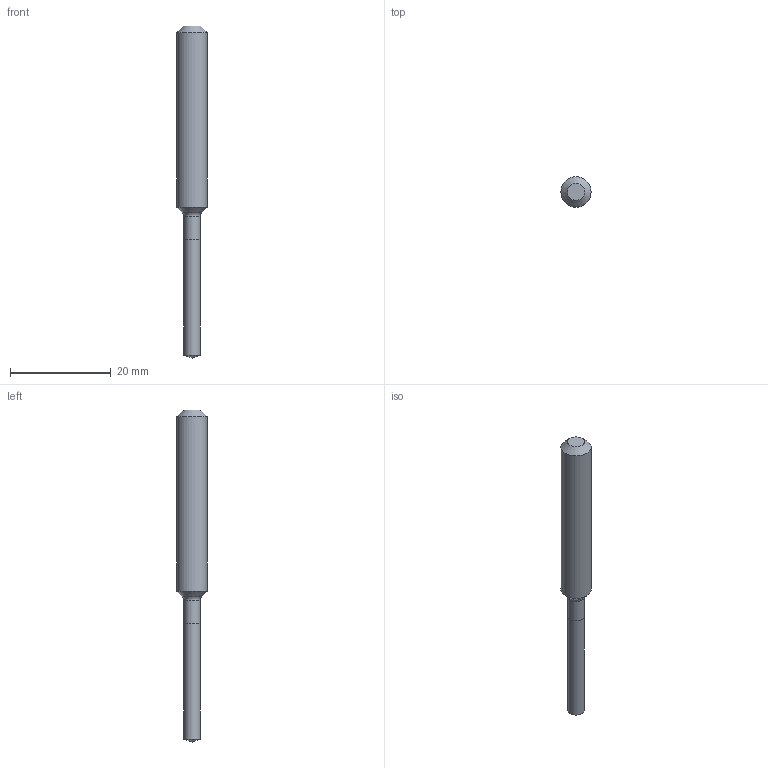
import cadquery as cq
import math

overall_length = 66.0
shank_diameter = 6.0
shank_length = 36.0
top_chamfer = 1.3
neck_diameter = 3.2
taper_angle = math.radians(45)
neck_blend_radius = 1.0
cutter_length = 23.5
point_angle = math.radians(140)

shank_radius = shank_diameter / 2
neck_radius = neck_diameter / 2
shoulder_z = overall_length - shank_length
point_height = neck_radius / math.tan(point_angle / 2)

taper_height = (shank_radius - neck_radius) / math.tan(taper_angle)
blend_bottom_z = shoulder_z - taper_height - neck_blend_radius * math.tan(taper_angle / 2)
blend_center_r = neck_radius + neck_blend_radius


def blend_point(angle):
    """Point (r, z) on the neck blend, at an angle measured up from its neck end."""
    return (
        blend_center_r - neck_blend_radius * math.cos(angle),
        blend_bottom_z + neck_blend_radius * math.sin(angle),
    )


def make_shank():
    """Chamfered shank that tapers and blends into the short neck."""
    profile = (
        cq.Workplane("XZ")
        .moveTo(0, cutter_length)
        .lineTo(neck_radius, cutter_length)
        .lineTo(neck_radius, blend_bottom_z)
        .threePointArc(blend_point(taper_angle / 2), blend_point(taper_angle))
        .lineTo(shank_radius, shoulder_z)
        .lineTo(shank_radius, overall_length - top_chamfer)
        .lineTo(shank_radius - top_chamfer, overall_length)
        .lineTo(0, overall_length)
        .close()
    )
    return profile.revolve(360, (0, 0), (0, 1))


def make_cutter():
    """Cylindrical cutter, as thick as the neck, with a shallow conical point."""
    profile = (
        cq.Workplane("XZ")
        .lineTo(neck_radius, point_height)
        .lineTo(neck_radius, cutter_length)
        .lineTo(0, cutter_length)
        .close()
    )
    return profile.revolve(360, (0, 0), (0, 1))


shank = make_shank()
cutter = make_cutter()

result = cq.Compound.makeCompound([shank.val(), cutter.val()])